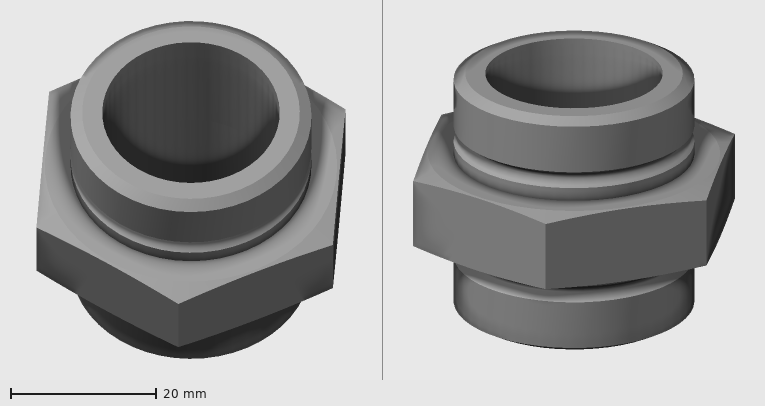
import cadquery as cq
import math

hex_across_corners = 47.35
total_height = 35.0
hex_height = 11.0
bore_diameter = 24.47

thread_radius = 16.6
end_chamfer_width = 1.6
end_chamfer_height = 0.9

groove_offset = 3.1
groove_half_width = 1.2
groove_floor_radius = 15.0
groove_round = 0.4
flank_angle = math.radians(30)

bevel_start_radius = 20.15
bevel_drop = 0.6

half_height = total_height / 2
half_hex = hex_height / 2
corner_radius = hex_across_corners / 2
groove_middle = half_hex + groove_offset

round_half_height = groove_round * math.cos(flank_angle)
flank_foot_radius = groove_floor_radius + groove_round * (1 - math.sin(flank_angle))


def make_hex():
    """Hexagonal collar with both rims bevelled by a cone."""
    prism = (
        cq.Workplane("XY")
        .workplane(offset=-half_hex)
        .polygon(6, hex_across_corners)
        .extrude(hex_height)
    )
    bevel_envelope = (
        cq.Workplane("XZ")
        .moveTo(0, -half_hex)
        .lineTo(bevel_start_radius, -half_hex)
        .lineTo(corner_radius, -half_hex + bevel_drop)
        .lineTo(corner_radius, half_hex - bevel_drop)
        .lineTo(bevel_start_radius, half_hex)
        .lineTo(0, half_hex)
        .close()
        .revolve(360, (0, 0, 0), (0, 1, 0))
    )
    return prism.intersect(bevel_envelope)


def make_threaded_end():
    """Upper threaded end, from mid-height to the chamfered tip, with its undercut."""
    return (
        cq.Workplane("XZ")
        .lineTo(thread_radius, 0)
        .lineTo(thread_radius, groove_middle - groove_half_width)
        .lineTo(flank_foot_radius, groove_middle - round_half_height)
        .tangentArcPoint((groove_floor_radius, groove_middle), relative=False)
        .tangentArcPoint((flank_foot_radius, groove_middle + round_half_height), relative=False)
        .lineTo(thread_radius, groove_middle + groove_half_width)
        .lineTo(thread_radius, half_height - end_chamfer_height)
        .lineTo(thread_radius - end_chamfer_width, half_height)
        .lineTo(0, half_height)
        .close()
        .revolve(360, (0, 0, 0), (0, 1, 0))
    )


upper_end = make_threaded_end()
lower_end = upper_end.mirror("XY")
bore = cq.Workplane("XY").circle(bore_diameter / 2).extrude(half_height, both=True)

result = make_hex().union(upper_end).union(lower_end).cut(bore)